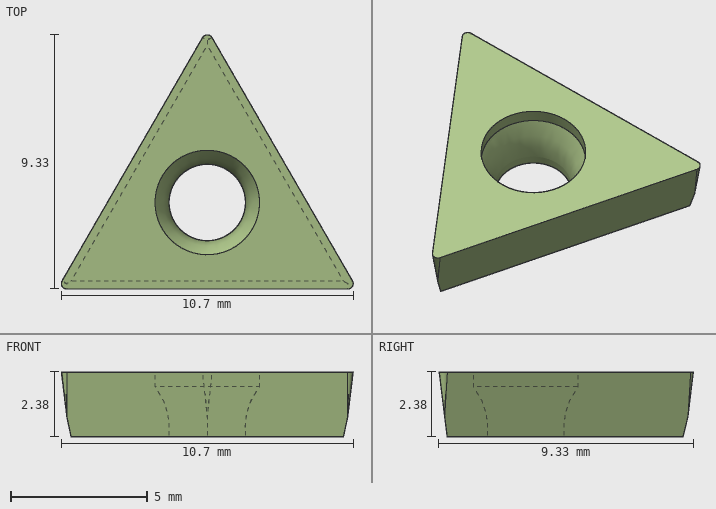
import cadquery as cq
import math

length = 10.71
thickness = 2.38
relief_angle = math.radians(7.0)
corner_radius = 0.2

hole_diameter = 2.8
recess_diameter = 3.83
recess_depth = 0.54
seat_diameter = 3.71
seat_depth = 0.64
throat_depth = 2.01

center_distance = (length - 2 * corner_radius) / math.sqrt(3)
inradius = center_distance / 2 + corner_radius
bottom_inradius = inradius - thickness * math.tan(relief_angle)
cone_height = corner_radius / math.tan(relief_angle)


def triangle(z, radius):
    """Equilateral triangle pointing to +Y, with the given inscribed circle radius."""
    corners = [
        (2 * radius * math.cos(math.radians(angle)), 2 * radius * math.sin(math.radians(angle)))
        for angle in (90, 210, 330)
    ]
    return cq.Workplane("XY", origin=(0, 0, z)).polyline(corners).close().val()


def make_body():
    """Sharp-cornered triangle narrowing towards the bottom."""
    wires = [triangle(-thickness, bottom_inradius), triangle(0, inradius)]
    return cq.Workplane(cq.Solid.makeLoft(wires, True))


def make_corner_waste(angle):
    """Material outside the conical rounding of the corner at the given angle."""
    tangent_x = corner_radius * math.cos(math.radians(60))
    tangent_y = corner_radius * math.sin(math.radians(60))
    tip_x = 2 * corner_radius
    wedge = (
        cq.Workplane("XY")
        .polyline([(0, 0), (tangent_x, -tangent_y), (tip_x, 0), (tangent_x, tangent_y)])
        .close()
        .extrude(-cone_height)
    )
    cone = cq.Workplane(
        cq.Solid.makeCone(corner_radius, 0, cone_height, cq.Vector(0, 0, 0), cq.Vector(0, 0, -1))
    )
    waste = wedge.cut(cone).translate((center_distance, 0, 0))
    return waste.rotate((0, 0, 0), (0, 0, 1), angle)


def make_screw_hole():
    """Recess, narrow conical step and rounded screw seat running into the through hole."""
    hole_radius = hole_diameter / 2
    seat_radius = seat_diameter / 2
    recess_radius = recess_diameter / 2

    seat_width = seat_radius - hole_radius
    seat_height = throat_depth - seat_depth
    arc_radius = (seat_width**2 + seat_height**2) / (2 * seat_width)
    half_angle = math.asin(seat_height / arc_radius) / 2
    arc_middle = (
        hole_radius + arc_radius * (1 - math.cos(half_angle)),
        -throat_depth + arc_radius * math.sin(half_angle),
    )
    return (
        cq.Workplane("XZ")
        .moveTo(0, 0)
        .lineTo(recess_radius, 0)
        .lineTo(recess_radius, -recess_depth)
        .lineTo(seat_radius, -seat_depth)
        .threePointArc(arc_middle, (hole_radius, -throat_depth))
        .lineTo(hole_radius, -thickness)
        .lineTo(0, -thickness)
        .close()
        .revolve(360, (0, 0, 0), (0, 1, 0))
    )


result = make_body()
for corner_angle in (90, 210, 330):
    result = result.cut(make_corner_waste(corner_angle))
result = result.cut(make_screw_hole())